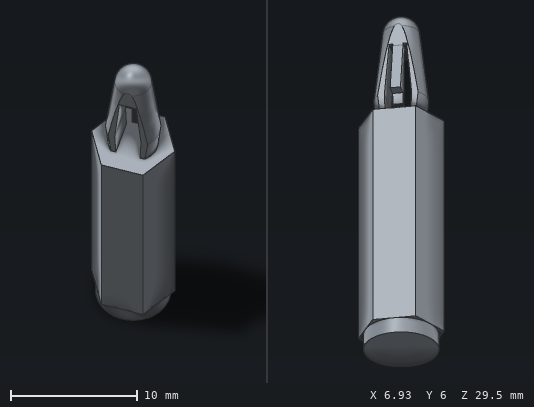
import cadquery as cq
import math

across_flats = 6.0
across_corners = across_flats / math.cos(math.radians(30))
collar_height = 1.3
body_top = 20.05

total_height = 29.5
plug_base_radius = 2.0
plug_max_radius = 2.18
plug_max_z = 22.1
dome_base_radius = 1.48
dome_base_z = 28.15
plug_half_depth = 1.45

slot_top = 26.55
slot_base_half_width = 1.0
slot_max_half_width = 1.1
slot_top_half_width = 0.7

barb_width = 0.83
barb_bottom = 21.12
barb_inner_y = 1.0
barb_outer_y = 1.53
barb_tip_y = 2.55
barb_slant_top = 26.4
barb_root_radius = 1.1


def make_body():
    collar = cq.Workplane("XY").circle(across_flats / 2).extrude(collar_height)
    hexagon = (
        cq.Workplane("XY")
        .workplane(offset=collar_height)
        .polygon(6, across_corners)
        .extrude(body_top - collar_height)
    )
    return collar.union(hexagon)


def make_plug():
    dome_height = total_height - dome_base_z
    dome_radius = (dome_base_radius**2 + dome_height**2) / (2 * dome_height)
    dome_center_z = total_height - dome_radius
    half_angle = math.atan2(dome_base_radius, dome_base_z - dome_center_z) / 2
    dome_middle = (
        dome_radius * math.sin(half_angle),
        dome_center_z + dome_radius * math.cos(half_angle),
    )
    post = (
        cq.Workplane("XZ")
        .moveTo(0, body_top)
        .lineTo(plug_base_radius, body_top)
        .lineTo(plug_max_radius, plug_max_z)
        .lineTo(dome_base_radius, dome_base_z)
        .threePointArc(dome_middle, (0, total_height))
        .close()
        .revolve(360, (0, 0, 0), (0, 1, 0))
    )
    flat_sides = (
        cq.Workplane("XY")
        .workplane(offset=body_top)
        .rect(2 * plug_max_radius, 2 * plug_half_depth)
        .extrude(total_height - body_top)
    )
    return post.intersect(flat_sides)


def make_slot():
    return (
        cq.Workplane("XZ")
        .moveTo(-slot_base_half_width, body_top)
        .lineTo(slot_base_half_width, body_top)
        .lineTo(slot_max_half_width, plug_max_z)
        .lineTo(slot_top_half_width, slot_top)
        .lineTo(-slot_top_half_width, slot_top)
        .lineTo(-slot_max_half_width, plug_max_z)
        .close()
        .extrude(plug_half_depth, both=True)
    )


def make_barb():
    arc_center_y = barb_inner_y - barb_root_radius
    arc_center_z = slot_top - barb_root_radius
    arc_offset = barb_root_radius * math.sqrt(0.5)
    return (
        cq.Workplane("YZ")
        .moveTo(barb_inner_y, barb_bottom)
        .lineTo(barb_outer_y, barb_bottom)
        .lineTo(barb_outer_y, plug_max_z)
        .lineTo(barb_tip_y, plug_max_z)
        .lineTo(plug_half_depth, barb_slant_top)
        .lineTo(plug_half_depth, slot_top)
        .lineTo(arc_center_y, slot_top)
        .threePointArc(
            (arc_center_y + arc_offset, arc_center_z + arc_offset),
            (barb_inner_y, arc_center_z),
        )
        .close()
        .extrude(barb_width / 2, both=True)
    )


result = make_body().union(make_plug().cut(make_slot())).union(make_barb())